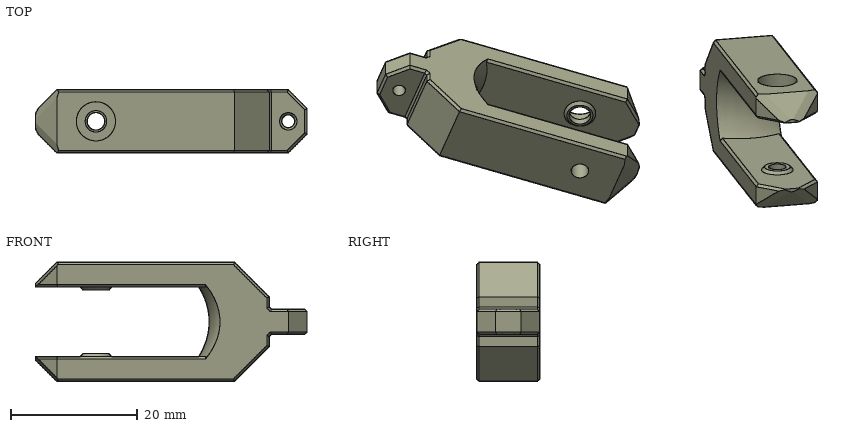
import cadquery as cq
import math

LENGTH = 43.03
WIDTH = 10.0
HEIGHT = 18.87
EDGE_CHAMFER = 0.4

SLOT_HEIGHT = 11.0
SLOT_HALF_HEIGHT = SLOT_HEIGHT / 2

TAB_LENGTH = 6.0
TAB_THICKNESS = 4.0
TAB_CORNER = 3.0
SHOULDER_BEVEL = 5.5
NECK_BEVEL = 0.35
SHOULDER_X = LENGTH - TAB_LENGTH

SADDLE_WAIST_X = 27.5
SADDLE_WAIST_RADIUS = 8.1
SADDLE_ARC_RADIUS = 10.0

TIP_BEVEL = 3.4
TIP_CORNER_INSET = 1.4
TIP_CORNER_DROP = 0.6

PIVOT_X = 9.6
CLEARANCE_DIAMETER = 3.4
THREAD_DIAMETER = 2.75
COUNTERBORE_DIAMETER = 6.2
COUNTERBORE_DEPTH = 3.2
BOSS_BASE_DIAMETER = 5.0
BOSS_TOP_DIAMETER = 4.1
BOSS_HEIGHT = 0.5

TAB_HOLE_X = LENGTH - TAB_CORNER
TAB_HOLE_DIAMETER = 2.0
TAB_COUNTERSINK_DIAMETER = 2.75
TAB_COUNTERSINK_ANGLE = 90

CUT_SIZE = 4 * LENGTH
TOLERANCE = 1e-6


def make_outer_body():
    """Solid side outline with bevelled tab corners and chamfered rims."""
    top = HEIGHT / 2
    shoulder_top = top - SHOULDER_BEVEL
    tab_top = TAB_THICKNESS / 2
    upper_outline = [
        (0, top),
        (SHOULDER_X - SHOULDER_BEVEL, top),
        (SHOULDER_X, shoulder_top),
        (SHOULDER_X, tab_top + NECK_BEVEL),
        (SHOULDER_X + NECK_BEVEL, tab_top),
        (LENGTH, tab_top),
    ]
    lower_outline = [(x, -z) for x, z in reversed(upper_outline)]
    body = (
        cq.Workplane("XZ")
        .polyline(upper_outline + lower_outline)
        .close()
        .extrude(WIDTH / 2, both=True)
        .edges("|Z and >X")
        .chamfer(TAB_CORNER)
    )
    tab_corner_x = LENGTH - TAB_CORNER

    def is_rim(edge):
        """True for the side edges and the tab end rims, but not the upright tab corners."""
        center = edge.Center()
        on_side = abs(abs(center.y) - WIDTH / 2) < TOLERANCE
        on_tab_end = center.x > tab_corner_x + TOLERANCE
        upright_on_tab = center.x > tab_corner_x - TOLERANCE and abs(center.z) < TOLERANCE
        return (on_side or on_tab_end) and not upright_on_tab

    rim = [edge for edge in body.edges().vals() if is_rim(edge)]
    return body.newObject(rim).chamfer(EDGE_CHAMFER)


def make_slot():
    """Slot with flared side rims, ending against the hourglass saddle."""
    side = WIDTH / 2
    inner = SLOT_HALF_HEIGHT
    flared = inner + EDGE_CHAMFER
    axis_x = SADDLE_WAIST_X + SADDLE_WAIST_RADIUS
    section = [
        (-side, flared),
        (EDGE_CHAMFER - side, inner),
        (side - EDGE_CHAMFER, inner),
        (side, flared),
        (side, -flared),
        (side - EDGE_CHAMFER, -inner),
        (EDGE_CHAMFER - side, -inner),
        (-side, -flared),
    ]
    channel = cq.Workplane("YZ").polyline(section).close().extrude(axis_x)

    arc_sag = SADDLE_ARC_RADIUS - math.sqrt(SADDLE_ARC_RADIUS**2 - flared**2)
    flare_x = SADDLE_WAIST_X - arc_sag
    saddle = (
        cq.Workplane("XZ")
        .moveTo(axis_x, flared)
        .lineTo(flare_x, flared)
        .threePointArc((SADDLE_WAIST_X, 0), (flare_x, -flared))
        .lineTo(axis_x, -flared)
        .close()
        .revolve(360, (axis_x, 0), (axis_x, 1))
    )
    return channel.cut(saddle)


def trim(part, point, normal):
    """Remove everything on the side of a plane that its normal points to."""
    plane = cq.Plane(origin=point, normal=normal)
    return part.cut(cq.Workplane(plane).rect(CUT_SIZE, CUT_SIZE).extrude(CUT_SIZE))


def shape_tip(upper_half):
    """Point the upper arm: sloped nose, two side bevels and the facets between them."""
    top = HEIGHT / 2
    tip = trim(upper_half, (TIP_BEVEL, 0, top), (-1, 0, 1))
    for side in (-1, 1):
        side_y = side * WIDTH / 2
        tip = trim(tip, (TIP_BEVEL, side_y, 0), (-1, side, 0))
        facet_normal = (-TIP_CORNER_DROP - TIP_CORNER_INSET, side * TIP_CORNER_DROP, TIP_CORNER_INSET)
        tip = trim(tip, (TIP_BEVEL, side_y, top - TIP_CORNER_DROP), facet_normal)
        tip = trim(
            tip,
            (TIP_BEVEL, side_y, SLOT_HALF_HEIGHT + EDGE_CHAMFER),
            (-1, side, -math.sqrt(2)),
        )
    return tip


def make_boss():
    """Tapered washer boss standing down from the slot face of the upper arm."""
    return (
        cq.Workplane("XY", origin=(PIVOT_X, 0, SLOT_HALF_HEIGHT))
        .circle(BOSS_BASE_DIAMETER / 2)
        .workplane(offset=-BOSS_HEIGHT)
        .circle(BOSS_TOP_DIAMETER / 2)
        .loft()
    )


def drill_pivot(part):
    """Counterbored clearance hole in the upper arm, thread hole in the lower arm."""
    upper_top = cq.Workplane("XY", origin=(PIVOT_X, 0, HEIGHT / 2))
    middle = cq.Workplane("XY", origin=(PIVOT_X, 0, 0))
    clearance = upper_top.circle(CLEARANCE_DIAMETER / 2).extrude(-HEIGHT / 2)
    counterbore = upper_top.circle(COUNTERBORE_DIAMETER / 2).extrude(-COUNTERBORE_DEPTH)
    thread = middle.circle(THREAD_DIAMETER / 2).extrude(-HEIGHT / 2)
    return part.cut(clearance).cut(counterbore).cut(thread)


def drill_tab(part):
    """Through hole in the tab, countersunk from above."""
    tab_top = cq.Workplane("XY", origin=(TAB_HOLE_X, 0, TAB_THICKNESS / 2))
    return (
        part.copyWorkplane(tab_top)
        .pushPoints([(0, 0)])
        .cskHole(TAB_HOLE_DIAMETER, TAB_COUNTERSINK_DIAMETER, TAB_COUNTERSINK_ANGLE)
    )


upper_half = shape_tip(trim(make_outer_body(), (0, 0, 0), (0, 0, -1)))
fork = upper_half.union(upper_half.mirror("XY")).cut(make_slot())
upper_boss = make_boss()
fork = fork.union(upper_boss).union(upper_boss.mirror("XY"))
result = drill_tab(drill_pivot(fork))